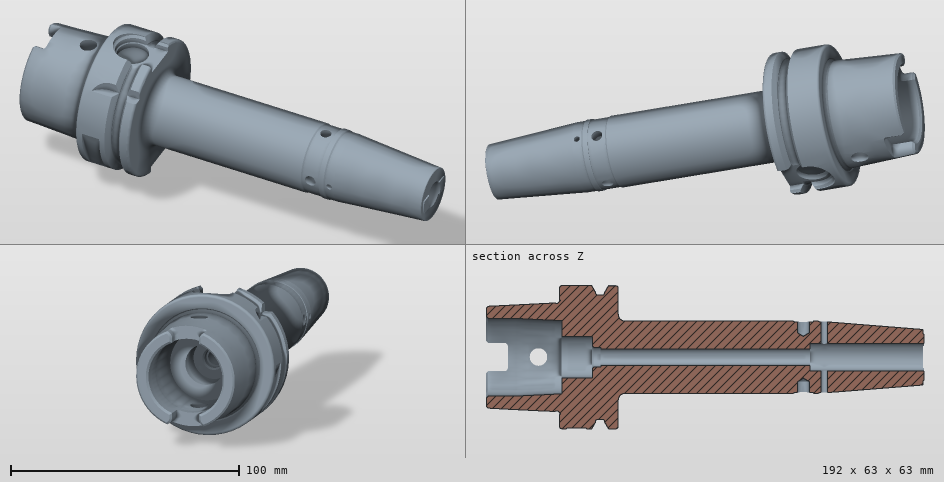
import cadquery as cq
import math

LENGTH = 192.0
FLANGE_START = 32.0
FLANGE_END = 58.0
TIP_FACE = 191.5

SHANK_GAUGE_RADIUS = 24.0
SHANK_SLOPE = 0.05
SHANK_MOUTH_RADIUS = SHANK_GAUGE_RADIUS - SHANK_SLOPE * FLANGE_START
MOUTH_CHAMFER = 0.8
RELIEF_START = 30.1
RELIEF_RADIUS = 23.6
RELIEF_RUN = 0.5
RELIEF_FLOOR_END = 31.3
FACE_RELIEF_RADIUS = 25.3
FACE_RELIEF_DEPTH = 0.4

FLANGE_RADIUS = 31.5
FLANGE_ROUND = 1.2
GROOVE_START = 46.3
GROOVE_END = 53.5
GROOVE_RADIUS = 27.5
GROOVE_WALL_FOOT = 28.5
GROOVE_WALL_ANGLE = 30.0
GROOVE_WALL_RUN = (FLANGE_RADIUS - GROOVE_WALL_FOOT) * math.tan(math.radians(GROOVE_WALL_ANGLE))
GROOVE_FILLET = 0.5

BODY_RADIUS = 16.0
NECK_FILLET = 2.9
RECESS_RADIUS = 15.5
RECESS_START = 134.5
RECESS_END = 143.2
LAND_END = 145.5
STEP_RUN = 0.5
NOSE_START = 150.3
TIP_RADIUS = 12.3
TIP_CHAMFER = 0.2

CAVITY_RADIUS = 16.9
CAVITY_MOUTH_RADIUS = 17.9
CAVITY_FLOOR_RADIUS = 16.0
CAVITY_MOUTH_DEPTH = 1.0
CAVITY_TAPER_START = 13.5
CAVITY_DEPTH = 33.0
TUBE_BORE_RADIUS = 9.0
TUBE_BORE_DEPTH = 13.5
COOLANT_RADIUS = 3.5
COOLANT_COUNTERBORE_RADIUS = 4.2
COOLANT_COUNTERBORE_DEPTH = 3.8
COOLANT_SINK_RADIUS = 5.0
TOOL_BORE_RADIUS = 6.0
TOOL_BORE_START = 142.0

SLOT_HALF_WIDTH = 6.1
SLOT_INNER_Z = 13.5
SLOT_FLARE_Z = 17.7
SLOT_FLARE_RADIUS = 3.5
SLOT_OUTER_Z = 25.0
SLOT_FLOOR_FILLET = 1.3
SLOT_MOUTH_CHAMFER = 1.0
UPPER_SLOT_DEPTH = 6.0
LOWER_SLOT_DEPTH = 9.6

ACCESS_HOLE_X = 23.0
ACCESS_HOLE_RADIUS = 3.8

KEYWAY_CENTRE_X = 44.7
KEYWAY_FLOOR_Z = 26.5
UPPER_KEYWAY_HALF_WIDTH = 7.9
LOWER_KEYWAY_HALF_WIDTH = 8.8
KEYWAY_DIMPLE_RADIUS = 7.1
KEYWAY_DIMPLE_DEPTH = 2.5
KEYWAY_FLARE_Z = 28.8
KEYWAY_FLARE_WIDTH = 1.0

NOTCH_OFFSET = 20.2
NOTCH_START = 35.0
NOTCH_CUTTER_RADIUS = 9.0
CHIP_FLAT_START = 35.3
CHIP_FLAT_LENGTH = 8.5
CHIP_FLAT_DISTANCE = 29.0
CHIP_FLAT_ANGLE = 21.5

BALANCE_HOLE_X = 139.0
BALANCE_HOLE_RADIUS = 2.5
BALANCE_HOLE_DEPTH = 5.2
DRILL_POINT_ANGLE = 118.0
CROSS_HOLE_X = 148.2
CROSS_HOLE_RADIUS = 1.3

PAD_WIDTH = 6.7
PAD_OUTER_RADIUS = 10.4


def shank_radius(x):
    return SHANK_MOUTH_RADIUS + SHANK_SLOPE * x


def revolve_about_x(points):
    return cq.Workplane("XY").polyline(points).close().revolve(360, (0, 0, 0), (1, 0, 0))


def x_cylinder(radius, start, end):
    return cq.Workplane("YZ", origin=(start, 0, 0)).circle(radius).extrude(end - start)


def outer_body():
    face_relief_x = FLANGE_START + FACE_RELIEF_DEPTH
    groove_left = GROOVE_START + GROOVE_WALL_RUN
    groove_right = GROOVE_END - GROOVE_WALL_RUN
    profile = (
        cq.Workplane("XY")
        .moveTo(0, 0)
        .lineTo(0, SHANK_MOUTH_RADIUS - MOUTH_CHAMFER)
        .lineTo(MOUTH_CHAMFER, shank_radius(MOUTH_CHAMFER))
        .lineTo(RELIEF_START, shank_radius(RELIEF_START))
        .lineTo(RELIEF_START + RELIEF_RUN, RELIEF_RADIUS)
        .lineTo(RELIEF_FLOOR_END, RELIEF_RADIUS)
        .lineTo(face_relief_x, RELIEF_RADIUS + face_relief_x - RELIEF_FLOOR_END)
        .lineTo(face_relief_x, FACE_RELIEF_RADIUS - FACE_RELIEF_DEPTH)
        .lineTo(FLANGE_START, FACE_RELIEF_RADIUS)
        .lineTo(FLANGE_START, FLANGE_RADIUS - FLANGE_ROUND)
        .radiusArc((FLANGE_START + FLANGE_ROUND, FLANGE_RADIUS), FLANGE_ROUND)
        .lineTo(GROOVE_START, FLANGE_RADIUS)
        .lineTo(groove_left, GROOVE_WALL_FOOT)
        .lineTo(groove_left, GROOVE_RADIUS + GROOVE_FILLET)
        .radiusArc((groove_left + GROOVE_FILLET, GROOVE_RADIUS), -GROOVE_FILLET)
        .lineTo(groove_right - GROOVE_FILLET, GROOVE_RADIUS)
        .radiusArc((groove_right, GROOVE_RADIUS + GROOVE_FILLET), -GROOVE_FILLET)
        .lineTo(groove_right, GROOVE_WALL_FOOT)
        .lineTo(GROOVE_END, FLANGE_RADIUS)
        .lineTo(FLANGE_END - FLANGE_ROUND, FLANGE_RADIUS)
        .radiusArc((FLANGE_END, FLANGE_RADIUS - FLANGE_ROUND), FLANGE_ROUND)
        .lineTo(FLANGE_END, BODY_RADIUS + NECK_FILLET)
        .radiusArc((FLANGE_END + NECK_FILLET, BODY_RADIUS), -NECK_FILLET)
        .lineTo(RECESS_START, BODY_RADIUS)
        .lineTo(RECESS_START + STEP_RUN, RECESS_RADIUS)
        .lineTo(RECESS_END, RECESS_RADIUS)
        .lineTo(RECESS_END, BODY_RADIUS)
        .lineTo(LAND_END, BODY_RADIUS)
        .lineTo(LAND_END + STEP_RUN, RECESS_RADIUS)
        .lineTo(NOSE_START, RECESS_RADIUS)
        .lineTo(TIP_FACE - TIP_CHAMFER, TIP_RADIUS)
        .lineTo(TIP_FACE, TIP_RADIUS - TIP_CHAMFER)
        .lineTo(TIP_FACE, 0)
        .close()
    )
    return profile.revolve(360, (0, 0, 0), (1, 0, 0))


def tip_pads():
    pads = x_cylinder(PAD_OUTER_RADIUS, TIP_FACE, LENGTH)
    strip = cq.Workplane("XY").box(LENGTH, 2 * PAD_OUTER_RADIUS, PAD_WIDTH).translate((LENGTH, 0, 0))
    return pads.intersect(strip)


def internal_bores():
    tube_bore_end = CAVITY_DEPTH + TUBE_BORE_DEPTH
    sink_end = tube_bore_end + COOLANT_SINK_RADIUS - COOLANT_COUNTERBORE_RADIUS
    counterbore_end = tube_bore_end + COOLANT_COUNTERBORE_DEPTH
    return revolve_about_x([
        (0, 0),
        (0, CAVITY_MOUTH_RADIUS),
        (CAVITY_MOUTH_DEPTH, CAVITY_RADIUS),
        (CAVITY_TAPER_START, CAVITY_RADIUS),
        (CAVITY_DEPTH, CAVITY_FLOOR_RADIUS),
        (CAVITY_DEPTH, TUBE_BORE_RADIUS),
        (tube_bore_end, TUBE_BORE_RADIUS),
        (tube_bore_end, COOLANT_SINK_RADIUS),
        (sink_end, COOLANT_COUNTERBORE_RADIUS),
        (counterbore_end, COOLANT_COUNTERBORE_RADIUS),
        (counterbore_end, COOLANT_RADIUS),
        (TOOL_BORE_START, COOLANT_RADIUS),
        (TOOL_BORE_START, TOOL_BORE_RADIUS),
        (LENGTH, TOOL_BORE_RADIUS),
        (LENGTH, 0),
    ])


def drive_slot(depth):
    """Slot through the upper wall, flared outwards so that the arms get rounded outer corners."""
    flare_y = SLOT_HALF_WIDTH + SLOT_FLARE_RADIUS
    flare_top = SLOT_FLARE_Z + SLOT_FLARE_RADIUS

    def section(x):
        return (
            cq.Workplane("YZ", origin=(x, 0, 0))
            .moveTo(-SLOT_HALF_WIDTH, SLOT_INNER_Z)
            .lineTo(SLOT_HALF_WIDTH, SLOT_INNER_Z)
            .lineTo(SLOT_HALF_WIDTH, SLOT_FLARE_Z)
            .radiusArc((flare_y, flare_top), SLOT_FLARE_RADIUS)
            .lineTo(flare_y, SLOT_OUTER_Z)
            .lineTo(-flare_y, SLOT_OUTER_Z)
            .lineTo(-flare_y, flare_top)
            .radiusArc((-SLOT_HALF_WIDTH, SLOT_FLARE_Z), SLOT_FLARE_RADIUS)
            .close()
        )

    slot = section(0).extrude(depth)
    slot = slot.faces(">X").edges("|Z or %CIRCLE").fillet(SLOT_FLOOR_FILLET)
    mouth = section(SLOT_MOUTH_CHAMFER).extrude(-SLOT_MOUTH_CHAMFER, taper=-45)
    return slot.union(mouth)


def keyway(half_width):
    """Round-ended keyway in the top of the flange with a flared rim, open towards the nose."""

    def outline(z, end_radius):
        return (
            cq.Workplane("XY", origin=(KEYWAY_CENTRE_X, 0, z))
            .moveTo(0, end_radius)
            .threePointArc((-end_radius, 0), (0, -end_radius))
            .lineTo(LENGTH - KEYWAY_CENTRE_X, -end_radius)
            .lineTo(LENGTH - KEYWAY_CENTRE_X, end_radius)
            .close()
        )

    rim_z = KEYWAY_FLARE_Z + KEYWAY_FLARE_WIDTH
    slot = outline(KEYWAY_FLOOR_Z, half_width).extrude(FLANGE_RADIUS - KEYWAY_FLOOR_Z)
    flare = outline(KEYWAY_FLARE_Z, half_width).extrude(KEYWAY_FLARE_WIDTH, taper=-45)
    rim = outline(rim_z, half_width + KEYWAY_FLARE_WIDTH).extrude(FLANGE_RADIUS - rim_z)
    dimple = cq.Workplane("XY", origin=(KEYWAY_CENTRE_X, 0, KEYWAY_FLOOR_Z))
    dimple = dimple.circle(KEYWAY_DIMPLE_RADIUS).extrude(-KEYWAY_DIMPLE_DEPTH)
    return slot.union(flare).union(rim).union(dimple)


def upside_down(shape):
    return shape.rotate((0, 0, 0), (1, 0, 0), 180)


def orientation_notch():
    """Square corner cut in the rim between -Y and +Z, ending in the sweep of a round cutter."""
    size = FLANGE_RADIUS
    notch = cq.Workplane("XY").box(FLANGE_END - NOTCH_START, size, size, centered=False)
    notch = notch.translate((NOTCH_START, -NOTCH_OFFSET - size, NOTCH_OFFSET))
    return notch.edges("|Z and <X and >Y").fillet(NOTCH_CUTTER_RADIUS)


def chip_flat():
    """Flat tangential cut in the rim on the -Y side, tilted towards -Z."""
    block = cq.Workplane("XY").box(
        CHIP_FLAT_LENGTH, FLANGE_RADIUS, 2 * FLANGE_RADIUS, centered=(False, False, True)
    )
    block = block.translate((CHIP_FLAT_START, -CHIP_FLAT_DISTANCE - FLANGE_RADIUS, 0))
    return block.rotate((0, 0, 0), (1, 0, 0), CHIP_FLAT_ANGLE)


def balance_hole():
    """Blind drilled hole entering from +Z."""
    point_depth = BALANCE_HOLE_RADIUS / math.tan(math.radians(DRILL_POINT_ANGLE / 2))
    floor_z = BODY_RADIUS - BALANCE_HOLE_DEPTH
    hole = (
        cq.Workplane("XZ")
        .polyline([
            (0, floor_z - point_depth),
            (BALANCE_HOLE_RADIUS, floor_z),
            (BALANCE_HOLE_RADIUS, BODY_RADIUS),
            (0, BODY_RADIUS),
        ])
        .close()
        .revolve(360, (0, 0, 0), (0, 1, 0))
    )
    return hole.translate((BALANCE_HOLE_X, 0, 0))


result = outer_body().union(tip_pads()).cut(internal_bores())

upper_slot = drive_slot(UPPER_SLOT_DEPTH)
lower_slot = upside_down(drive_slot(LOWER_SLOT_DEPTH))
result = result.cut(upper_slot).cut(lower_slot)

access_holes = cq.Workplane("XY").circle(ACCESS_HOLE_RADIUS).extrude(FLANGE_RADIUS, both=True)
result = result.cut(access_holes.translate((ACCESS_HOLE_X, 0, 0)))

result = result.cut(keyway(UPPER_KEYWAY_HALF_WIDTH))
result = result.cut(upside_down(keyway(LOWER_KEYWAY_HALF_WIDTH)))
result = result.cut(orientation_notch()).cut(chip_flat())

for turn in range(4):
    result = result.cut(balance_hole().rotate((0, 0, 0), (1, 0, 0), 90 * turn))

cross_hole = cq.Workplane("XZ").circle(CROSS_HOLE_RADIUS).extrude(BODY_RADIUS, both=True)
result = result.cut(cross_hole.translate((CROSS_HOLE_X, 0, 0)))